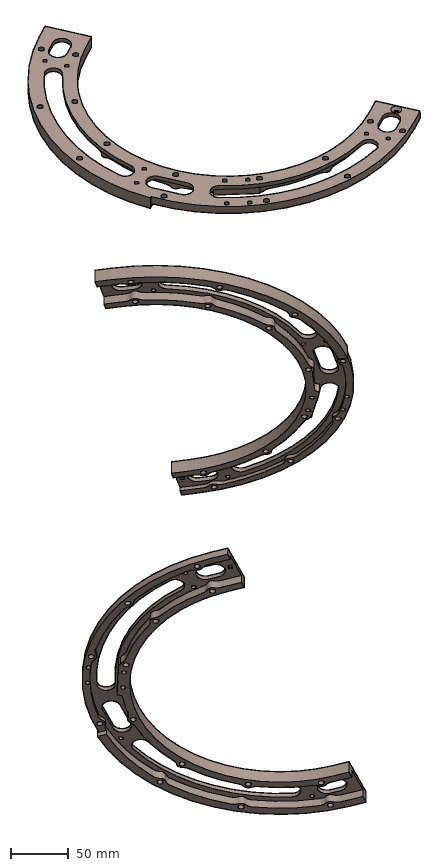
import cadquery as cq
import math

inner_radius = 130.8
outer_radius = 173.7
trimmed_radius = 172.3
trimmed_draft = 3
trim_start_x = -10.5
end_length = 15.2
total_height = 12.0
plate_thickness = 4.0
wall_height = total_height - plate_thickness
trimmed_height = 7.5
trimmed_bottom = total_height - trimmed_height

inner_hole_radius = 136.3
outer_hole_radius = 167.0
middle_radius = (inner_hole_radius + outer_hole_radius) / 2
screw_diameter = 5.2
quarter_angles = (5.2, 32.1, 59.0)
boss_radius = 5.0
boss_blend_radius = 10.5
wall_beyond_holes = 1.7
inner_wall_radius = inner_hole_radius + wall_beyond_holes
outer_wall_radius = outer_hole_radius - wall_beyond_holes

small_diameter = 3.8
mount_hole_diameter = 4.0
small_spacing = 20.0
small_pair_radius = 148.0
end_pair_y = -29.0
lower_pair_x = -28.5

mount_angle = -67.5
mount_length = outer_hole_radius - inner_hole_radius
pad_width = 40.5
pad_face_radius = 141.0
pad_blend_radius = 3.5

end_slot_length = 26.3
end_slot_y = -8.3
lower_slot_length = 43.0
end_slot_width = 16.5
lower_slot_width = 16.3
arc_slot_width = 16.0
arc_slot_margin = 16.6

countersink_y = 10.0
countersink_diameter = 9.5
countersink_hole_diameter = 4.0
countersink_angle = 90

beyond = 2 * outer_radius
tolerance = 0.005


def polar(radius, angle):
    a = math.radians(angle)
    return (radius * math.cos(a), radius * math.sin(a))


def arch(inner, outer, bottom, height):
    """Half ring with straight ends, from z = bottom upward."""
    return (
        cq.Workplane("XY", origin=(0, 0, bottom))
        .moveTo(-outer, end_length)
        .lineTo(-outer, 0)
        .threePointArc((0, -outer), (outer, 0))
        .lineTo(outer, end_length)
        .lineTo(inner, end_length)
        .lineTo(inner, 0)
        .threePointArc((0, -inner), (-inner, 0))
        .lineTo(-inner, end_length)
        .close()
        .extrude(height)
    )


def half_space(right):
    """Block covering everything on one side of the step in the outer edge."""
    side = 1 if right else -1
    return cq.Workplane("XY").box(beyond, 2 * beyond, beyond).translate(
        (trim_start_x + side * beyond / 2, 0, 0)
    )


def trimmed_envelope():
    """Drafted solid whose sides bound the outer face of the +X half."""
    return (
        cq.Workplane("XY", origin=(0, 0, trimmed_bottom))
        .moveTo(-trimmed_radius, 0)
        .threePointArc((0, -trimmed_radius), (trimmed_radius, 0))
        .lineTo(trimmed_radius, beyond)
        .lineTo(-trimmed_radius, beyond)
        .close()
        .extrude(trimmed_height, taper=trimmed_draft)
    )


def add_bosses(wall, wall_radius, positions):
    """Join a round boss at each position and blend it into the wall face of that radius."""
    bosses = cq.Workplane("XY").pushPoints(positions).circle(boss_radius).extrude(wall_height)
    joined = wall.union(bosses)
    reach = boss_radius + tolerance
    corners = [
        edge
        for edge in joined.edges("|Z").vals()
        if abs(math.hypot(edge.Center().x, edge.Center().y) - wall_radius) < tolerance
        and any(math.dist(edge.Center().toTuple()[:2], p) < reach for p in positions)
    ]
    return joined.newObject(corners).fillet(boss_blend_radius)


def arc_slot(mirrored):
    """Cutter for a long curved slot on the -X half, or its mirror image."""
    start, end = 180 + arc_slot_margin, 270 - arc_slot_margin
    low, high = middle_radius - arc_slot_width / 2, middle_radius + arc_slot_width / 2
    middle = (start + end) / 2
    cutter = (
        cq.Workplane("XY")
        .moveTo(*polar(low, start))
        .threePointArc(polar(low, middle), polar(low, end))
        .lineTo(*polar(high, end))
        .threePointArc(polar(high, middle), polar(high, start))
        .close()
        .extrude(total_height)
    )
    round_ends = [polar(middle_radius, start), polar(middle_radius, end)]
    cutter = cutter.union(
        cq.Workplane("XY").pushPoints(round_ends).circle(arc_slot_width / 2).extrude(total_height)
    )
    return cutter.mirror("YZ") if mirrored else cutter


screw_angles = [-90]
for angle in quarter_angles:
    screw_angles += [-angle, angle - 180]
inner_screws = [polar(inner_hole_radius, a) for a in screw_angles]
outer_screws = [polar(outer_hole_radius, a) for a in screw_angles]

small_holes = []
for offset in (-small_spacing / 2, small_spacing / 2):
    small_holes.append((small_pair_radius + offset, end_pair_y))
    small_holes.append((-small_pair_radius + offset, end_pair_y))
    small_holes.append((lower_pair_x, -small_pair_radius + offset))

plate = arch(inner_radius, outer_radius, wall_height, plate_thickness)

inner_wall = add_bosses(
    arch(inner_radius, inner_wall_radius, 0, wall_height), inner_wall_radius, inner_screws
)
pad_depth = pad_face_radius - inner_hole_radius
pad = (
    cq.Workplane("XY")
    .center(pad_face_radius - pad_depth / 2, 0)
    .rect(pad_depth, pad_width)
    .extrude(wall_height)
    .rotate((0, 0, 0), (0, 0, 1), mount_angle)
)
inner_wall = inner_wall.union(pad)

pad_half_angle = math.degrees(math.asin(pad_width / 2 / inner_wall_radius))
pad_corner = (*polar(inner_wall_radius, mount_angle - pad_half_angle), wall_height / 2)
inner_wall = (
    inner_wall.edges(cq.selectors.NearestToPointSelector(pad_corner)).fillet(pad_blend_radius)
)

outer_wall = add_bosses(
    arch(outer_wall_radius, outer_radius, 0, wall_height), outer_wall_radius, outer_screws
)

outer_part = plate.union(outer_wall)
outer_part = outer_part.intersect(half_space(False)).union(
    outer_part.intersect(half_space(True)).intersect(trimmed_envelope())
)
body = outer_part.union(inner_wall)

body = body.cut(
    cq.Workplane("XY").pushPoints(inner_screws + outer_screws)
    .circle(screw_diameter / 2).extrude(total_height)
)
body = body.cut(
    cq.Workplane("XY").pushPoints(small_holes).circle(small_diameter / 2).extrude(total_height)
)
body = body.cut(
    cq.Workplane("XY").center(middle_radius, 0)
    .rarray(mount_length, small_spacing, 2, 2)
    .circle(mount_hole_diameter / 2).extrude(total_height)
    .rotate((0, 0, 0), (0, 0, 1), mount_angle)
)

plate_bottom = cq.Workplane("XY", origin=(0, 0, wall_height))
body = body.cut(
    plate_bottom.pushPoints([(-middle_radius, end_slot_y), (middle_radius, end_slot_y)])
    .slot2D(end_slot_length, end_slot_width, 90).extrude(plate_thickness)
)
body = body.cut(
    plate_bottom.center(0, -middle_radius)
    .slot2D(lower_slot_length, lower_slot_width).extrude(plate_thickness)
)
body = body.cut(arc_slot(False)).cut(arc_slot(True))

result = (
    body.faces(">Z").workplane(origin=(0, 0, total_height))
    .pushPoints([(middle_radius, countersink_y)])
    .cskHole(countersink_hole_diameter, countersink_diameter, countersink_angle)
)